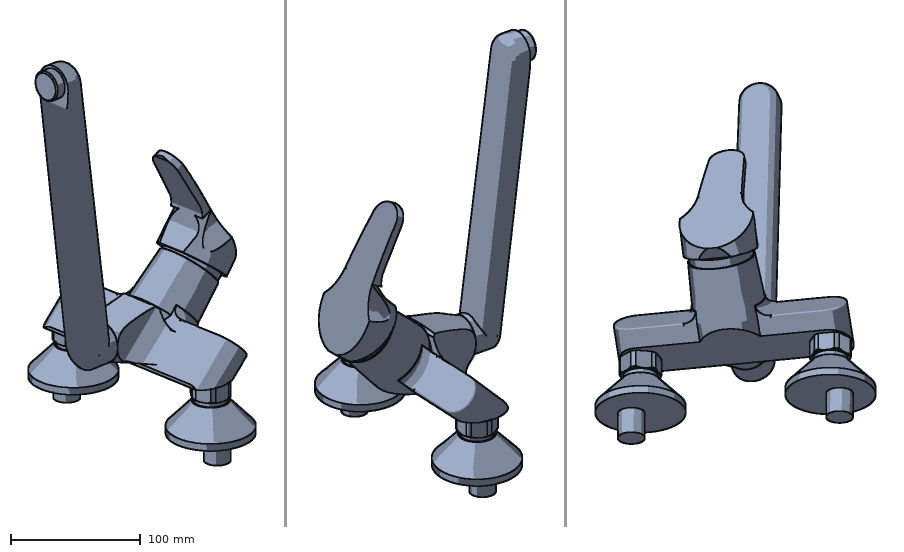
import cadquery as cq
import math


INLET_SPACING = 150.0
ESCUTCHEON_DIA = 70.0
ESCUTCHEON_TOP_DIA = 29.5
ESCUTCHEON_RIM = 6.0
ESCUTCHEON_RIM_BEVEL = 1.2
ESCUTCHEON_TOP_Z = -18.5
ESCUTCHEON_BOTTOM_Z = -46.0
NUT_FLATS = 30.0
NUT_CORNER_DIA = 32.5
NUT_HEIGHT = 14.5
NUT_BEVEL = 1.0
LEFT_NUT_TURN = 30.0
RIGHT_NUT_TURN = -8.0
COLLAR_DIA = 27.0
PIPE_DIA = 21.0
PIPE_OFFSET = 7.2
LEFT_PIPE_END_Z = -66.1
RIGHT_PIPE_END_Z = -67.1

AXIS_SHIFT = 2.5
BAR_LENGTH = 184.0
BAR_WIDTH = 33.0
BAR_TOP = 30.0
BAR_EDGE_FILLET = 1.5
BODY_FRONT_Y = -24.0
HOUSING_RADIUS_LOW = 29.0
HOUSING_RADIUS_TOP = 26.2
HOUSING_TOP = 75.0
HOUSING_ROOT_RADIUS = 15.0
HOUSING_FILLET = 9.0
NECK_RADIUS = 25.0
NECK_LENGTH = 7.0
BODY_DEPTH = 60.0

STUB_DIA = 33.0
STUB_AXIS_Z = 20.6
STUB_FRONT_Y = -43.0
FLARE_WIDTH = 20.0
FLARE_DEPTH = 18.5
FLARE_TOP = 29.0
FUNNEL_HALF_WIDTH = 90.0
FUNNEL_HALF_HEIGHT = 23.5

ARM_TILT = 7.5
ARM_FRONT_Y = -65.3
ARM_FOOT_WIDTH = 33.5
ARM_HEAD_WIDTH = 31.2
ARM_TOP_Z = 270.5
ARM_REACH = 110.0
ARM_DEPTH = 21.4
ARM_BACK_FILLET = 9.0
ARM_FRONT_FILLET = 2.0
OUTLET_FACE_Y = -96.2
OUTLET_Z = 256.0
AERATOR_DIA = 24.5
AERATOR_END_Y = -105.2
AERATOR_BEVEL = 1.2
AERATOR_EMBED = 1.0

LEVER_RADIUS = 29.0
LEVER_CAP_DEPTH = 31.3
LEVER_REAR = (84.2, 47.3)
LEVER_TIP = (25.7, 159.7)
LEVER_BASE_REAR = (76.5, 42.2)
LEVER_BASE_FRONT = (32.0, 76.5)
LEVER_TOP_MID = (49.6, 121.0)
LEVER_TIP_NOSE = (22.6, 159.1)
LEVER_TIP_UNDER = (21.1, 155.3)
LEVER_BLADE_UNDER = (47.3, 110.9)
LEVER_THROAT = (48.3, 98.0)
LEVER_THROAT_END = (43.5, 88.0)
LEVER_NECK_HALF_WIDTH = 17.3
LEVER_TIP_HALF_WIDTH = 14.0
LEVER_NECK_START = 38.0
LEVER_NECK_END = 64.0
LEVER_NECK_SLOPE = 0.1

diagonal = AXIS_SHIFT / math.sqrt(2)
HOUSING_PLANE = cq.Plane(origin=(0, -diagonal, diagonal), xDir=(1, 0, 0), normal=(0, 1, 1))


def cylinder_z(diameter, z_top, z_bottom):
    """Upright cylinder on the Z axis."""
    return cq.Workplane("XY").workplane(offset=z_bottom).circle(diameter / 2).extrude(z_top - z_bottom)


def wall_connection(side, nut_turn, pipe_end_z):
    """Union nut, collar, escutcheon and eccentric pipe below one end of the bar."""
    nut = cq.Workplane("XY").polygon(6, NUT_FLATS, circumscribed=True).extrude(-NUT_HEIGHT)
    nut = nut.rotate((0, 0, 0), (0, 0, 1), nut_turn)
    nut = nut.intersect(cylinder_z(NUT_CORNER_DIA, 0, -NUT_HEIGHT).faces("<Z").chamfer(NUT_BEVEL))
    rim_radius = ESCUTCHEON_DIA / 2
    rim_z = ESCUTCHEON_BOTTOM_Z + ESCUTCHEON_RIM
    escutcheon = (
        cq.Workplane("XZ")
        .moveTo(0, ESCUTCHEON_TOP_Z)
        .lineTo(ESCUTCHEON_TOP_DIA / 2, ESCUTCHEON_TOP_Z)
        .lineTo(rim_radius - ESCUTCHEON_RIM_BEVEL, rim_z + ESCUTCHEON_RIM_BEVEL)
        .lineTo(rim_radius, rim_z)
        .lineTo(rim_radius, ESCUTCHEON_BOTTOM_Z)
        .lineTo(0, ESCUTCHEON_BOTTOM_Z)
        .close()
        .revolve(360, (0, 0, 0), (0, 1, 0))
    )
    collar = cylinder_z(COLLAR_DIA, -NUT_HEIGHT, ESCUTCHEON_TOP_Z)
    pipe = cylinder_z(PIPE_DIA, ESCUTCHEON_BOTTOM_Z, pipe_end_z).translate((side * PIPE_OFFSET, 0, 0))
    stack = nut.union(collar).union(escutcheon).union(pipe)
    return stack.translate((side * INLET_SPACING / 2, 0, 0))


def body_plane(height):
    """Plane across the housing axis at a height along it; its local Y points down and back."""
    return cq.Workplane(HOUSING_PLANE).workplane(offset=height)


def bar_slab(bottom, top):
    """Stadium across the housing axis, between two heights along that axis."""
    return body_plane(bottom).slot2D(BAR_LENGTH, BAR_WIDTH).extrude(top - bottom)


def bar():
    """Stadium bar with a rounded rim around its upper face and a short upright lip at the front."""
    blank = bar_slab(-BODY_DEPTH, BAR_TOP).faces(">(0,1,1)").edges().fillet(BAR_EDGE_FILLET)
    behind_lip = cq.Workplane("XY").box(2 * BAR_LENGTH, BAR_LENGTH, BAR_LENGTH, centered=(True, False, True))
    return blank.intersect(behind_lip.translate((0, BODY_FRONT_Y, 0)))


def flare_outline(plane, base, reach):
    """Strip of the stub width that flares concavely to a wider foot, over reach, as it nears base."""
    half_stub = STUB_DIA / 2
    half_foot = half_stub + FLARE_WIDTH
    radius = (FLARE_WIDTH**2 + reach**2) / (2 * min(FLARE_WIDTH, abs(reach)))
    turn = math.copysign(radius, -reach)
    tip = base + reach
    return (
        cq.Workplane(plane)
        .moveTo(-half_foot, 0)
        .lineTo(-half_foot, base)
        .radiusArc((-half_stub, tip), turn)
        .lineTo(-half_stub, tip + reach)
        .lineTo(half_stub, tip + reach)
        .lineTo(half_stub, tip)
        .radiusArc((half_foot, base), turn)
        .lineTo(half_foot, 0)
        .close()
    )


def stub():
    """Round stub for the spout, with a concave flare on each side where it leaves the bar."""
    front_plane = cq.Plane(origin=(0, STUB_FRONT_Y, STUB_AXIS_Z), xDir=(1, 0, 0), normal=(0, -1, 0))
    tube = cq.Workplane(front_plane).circle(STUB_DIA / 2).extrude(STUB_FRONT_Y)
    across_axis = flare_outline(body_plane(-BODY_DEPTH).plane, -BAR_WIDTH / 2, -FLARE_WIDTH)
    in_plan = flare_outline("XY", BODY_FRONT_Y, -FLARE_DEPTH).extrude(BAR_LENGTH)
    flare = across_axis.extrude(BODY_DEPTH + FLARE_TOP).intersect(in_plan)
    funnel = (
        cq.Workplane(front_plane)
        .circle(STUB_DIA / 2)
        .workplane(offset=STUB_FRONT_Y)
        .ellipse(FUNNEL_HALF_WIDTH, FUNNEL_HALF_HEIGHT)
        .loft()
    )
    return tube.union(flare.intersect(funnel))


def housing():
    """Cartridge housing: root in the bar, flared foot, tapered barrel, and a neck under the lever."""
    flare_radius = HOUSING_RADIUS_LOW + HOUSING_FILLET
    root = (
        cq.Workplane(HOUSING_PLANE)
        .circle(HOUSING_ROOT_RADIUS)
        .workplane(offset=BAR_TOP)
        .circle(HOUSING_RADIUS_LOW)
        .loft()
    )
    barrel = (
        body_plane(BAR_TOP)
        .circle(HOUSING_RADIUS_LOW)
        .workplane(offset=HOUSING_TOP - BAR_TOP)
        .circle(HOUSING_RADIUS_TOP)
        .loft()
    )
    neck = body_plane(HOUSING_TOP).circle(NECK_RADIUS).extrude(NECK_LENGTH)
    side_plane = cq.Plane(origin=HOUSING_PLANE.origin, xDir=(1, 0, 0), normal=(0, -1, 1))
    flare = (
        cq.Workplane(side_plane)
        .moveTo(0, 0)
        .lineTo(flare_radius, 0)
        .lineTo(flare_radius, BAR_TOP)
        .radiusArc((HOUSING_RADIUS_LOW, BAR_TOP + HOUSING_FILLET), HOUSING_FILLET)
        .lineTo(0, BAR_TOP + HOUSING_FILLET)
        .close()
        .revolve(360, (0, 0, 0), (0, 1, 0))
        .intersect(bar_slab(0, 2 * BODY_DEPTH))
    )
    rear_half = body_plane(-BODY_DEPTH).center(0, BAR_LENGTH / 2).rect(BAR_LENGTH, BAR_LENGTH)
    rear_half = rear_half.extrude(2 * BODY_DEPTH)
    rear = body_plane(-BODY_DEPTH).circle(HOUSING_RADIUS_LOW).extrude(BODY_DEPTH + BAR_TOP)
    rear = rear.intersect(rear_half)
    return root.union(barrel).union(neck).union(flare).union(rear)


def body():
    """Bar, stub and housing, cut flat along the underside."""
    whole = bar().union(stub()).union(housing())
    side = 2 * BAR_LENGTH
    above_underside = cq.Workplane("XY").box(side, side, side, centered=(True, True, False))
    return whole.intersect(above_underside)


def arm_slab():
    """Outline of the arm seen along Y: round foot and head joined by slightly tapering sides."""
    foot_radius = ARM_FOOT_WIDTH / 2
    head_radius = ARM_HEAD_WIDTH / 2
    head_z = ARM_TOP_Z - head_radius
    return (
        cq.Workplane("XZ")
        .moveTo(-foot_radius, STUB_AXIS_Z)
        .threePointArc((0, STUB_AXIS_Z - foot_radius), (foot_radius, STUB_AXIS_Z))
        .lineTo(head_radius, head_z)
        .threePointArc((0, ARM_TOP_Z), (-head_radius, head_z))
        .close()
        .extrude(ARM_REACH)
    )


def arm_column():
    """Leaning bar with a rounded back, cut upright at the outlet face."""
    tilt = math.radians(ARM_TILT)
    foot_z = STUB_AXIS_Z - ARM_FOOT_WIDTH / 2
    front_top_y = ARM_FRONT_Y - math.tan(tilt) * (ARM_TOP_Z - foot_z)
    back_top_y = front_top_y + ARM_DEPTH
    back_foot_y = ARM_FRONT_Y + ARM_DEPTH
    profile = (
        cq.Workplane("YZ")
        .moveTo(ARM_FRONT_Y, foot_z)
        .lineTo(front_top_y, ARM_TOP_Z)
        .lineTo(back_top_y, ARM_TOP_Z)
        .lineTo(back_foot_y, foot_z)
        .close()
        .extrude(ARM_FOOT_WIDTH, both=True)
    )
    column = arm_slab().intersect(profile)
    front_normal = cq.Vector(0, -math.cos(tilt), -math.sin(tilt))
    back_face = cq.selectors.DirectionMinMaxSelector(front_normal, directionMax=False)
    front_face = cq.selectors.DirectionMinMaxSelector(front_normal, directionMax=True)
    column = column.faces(back_face).edges().fillet(ARM_BACK_FILLET)
    column = column.faces(front_face).edges().fillet(ARM_FRONT_FILLET)
    beyond_outlet = cq.Workplane("XY").box(ARM_REACH, ARM_REACH, ARM_TOP_Z, centered=(True, False, False))
    return column.cut(beyond_outlet.translate((0, OUTLET_FACE_Y - ARM_REACH, 0)))


def arm():
    """Spout arm: leaning column, horizontal foot sleeve on the stub axis, and aerator."""
    sleeve = (
        cq.Workplane("XZ", origin=(0, STUB_FRONT_Y, STUB_AXIS_Z))
        .circle(ARM_FOOT_WIDTH / 2)
        .extrude(STUB_FRONT_Y - ARM_FRONT_Y - ARM_FRONT_FILLET)
    )
    aerator = (
        cq.Workplane("XZ", origin=(0, OUTLET_FACE_Y + AERATOR_EMBED, OUTLET_Z))
        .circle(AERATOR_DIA / 2)
        .extrude(OUTLET_FACE_Y + AERATOR_EMBED - AERATOR_END_Y)
        .faces("<Y")
        .chamfer(AERATOR_BEVEL)
    )
    return arm_column().union(sleeve).union(aerator)


def lever():
    """Lever handle: side profile trimmed by the round cap and by the narrowing outline of the blade."""
    profile = (
        cq.Workplane("YZ")
        .moveTo(*LEVER_BASE_FRONT)
        .lineTo(*LEVER_BASE_REAR)
        .lineTo(*LEVER_REAR)
        .threePointArc(LEVER_TOP_MID, LEVER_TIP)
        .threePointArc(LEVER_TIP_NOSE, LEVER_TIP_UNDER)
        .lineTo(*LEVER_BLADE_UNDER)
        .threePointArc(LEVER_THROAT, LEVER_THROAT_END)
        .close()
        .extrude(2 * LEVER_RADIUS, both=True)
    )
    base_dy = LEVER_BASE_REAR[0] - LEVER_BASE_FRONT[0]
    base_dz = LEVER_BASE_REAR[1] - LEVER_BASE_FRONT[1]
    base_mid_y = (LEVER_BASE_REAR[0] + LEVER_BASE_FRONT[0]) / 2
    base_mid_z = (LEVER_BASE_REAR[1] + LEVER_BASE_FRONT[1]) / 2
    cap_plane = cq.Plane(origin=(0, base_mid_y, base_mid_z), xDir=(1, 0, 0), normal=(0, -base_dz, base_dy))
    blade_dy = LEVER_TIP[0] - LEVER_REAR[0]
    blade_dz = LEVER_TIP[1] - LEVER_REAR[1]
    blade_length = math.hypot(blade_dy, blade_dz)
    blade_plane = cq.Plane(origin=(0, *LEVER_REAR), xDir=(1, 0, 0), normal=(0, -blade_dz, blade_dy))
    cap = cq.Workplane(cap_plane).ellipse(LEVER_RADIUS, LEVER_CAP_DEPTH).extrude(blade_length)
    tip_start = blade_length - LEVER_TIP_HALF_WIDTH
    right_neck = [(-1, 1), (-LEVER_NECK_SLOPE, 1)]
    left_neck = [(-LEVER_NECK_SLOPE, -1), (-1, -1)]
    outline = (
        cq.Workplane(blade_plane)
        .moveTo(-LEVER_RADIUS, -LEVER_RADIUS)
        .lineTo(LEVER_RADIUS, -LEVER_RADIUS)
        .lineTo(LEVER_RADIUS, LEVER_NECK_START)
        .spline([(LEVER_NECK_HALF_WIDTH, LEVER_NECK_END)], tangents=right_neck, includeCurrent=True)
        .lineTo(LEVER_TIP_HALF_WIDTH, tip_start)
        .threePointArc((0, blade_length), (-LEVER_TIP_HALF_WIDTH, tip_start))
        .lineTo(-LEVER_NECK_HALF_WIDTH, LEVER_NECK_END)
        .spline([(-LEVER_RADIUS, LEVER_NECK_START)], tangents=left_neck, includeCurrent=True)
        .close()
        .extrude(LEVER_RADIUS * 3, both=True)
    )
    blade_zone = (
        cq.Workplane(blade_plane)
        .center(0, LEVER_NECK_END + blade_length)
        .rect(2 * LEVER_RADIUS, 2 * blade_length)
        .extrude(3 * LEVER_RADIUS, both=True)
    )
    return profile.intersect(outline).intersect(cap.union(blade_zone))


result = (
    body()
    .union(arm())
    .union(lever())
    .union(wall_connection(-1, LEFT_NUT_TURN, LEFT_PIPE_END_Z))
    .union(wall_connection(1, RIGHT_NUT_TURN, RIGHT_PIPE_END_Z))
)